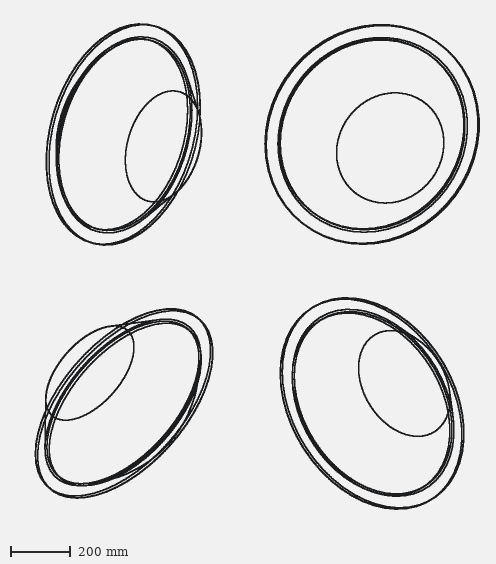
import cadquery as cq

total_length = 345.0
flange_radius = 377.5
flange_thickness = 12.0
recess_radius = 328.0
recess_depth = flange_thickness
cone_large_radius = 336.0
cone_small_radius = 190.0
dome_protrusion = 158.0
back_x = total_length - dome_protrusion


def make_housing():
    """Flange and tapered body in one piece, with a round seat for the dome."""
    return (
        cq.Workplane("XY")
        .moveTo(recess_depth, 0)
        .lineTo(recess_depth, recess_radius)
        .lineTo(0, recess_radius)
        .lineTo(0, flange_radius)
        .lineTo(flange_thickness, flange_radius)
        .lineTo(flange_thickness, cone_large_radius)
        .lineTo(back_x, cone_small_radius)
        .lineTo(back_x, 0)
        .close()
        .revolve(360, (0, 0, 0), (1, 0, 0))
    )


def make_dome():
    """Spherical cap whose rim meets the wall at the bottom of the seat."""
    dome_height = dome_protrusion + recess_depth
    sphere_radius = (recess_radius**2 + dome_height**2) / (2 * dome_height)
    middle_x = recess_depth - dome_height / 2
    sphere_center_x = sphere_radius - dome_protrusion
    middle_radius = (sphere_radius**2 - (sphere_center_x - middle_x) ** 2) ** 0.5
    return (
        cq.Workplane("XY")
        .moveTo(-dome_protrusion, 0)
        .threePointArc((middle_x, middle_radius), (recess_depth, recess_radius))
        .lineTo(recess_depth, 0)
        .close()
        .revolve(360, (0, 0, 0), (1, 0, 0))
    )


housing = make_housing()
dome = make_dome()

result = cq.Compound.makeCompound([housing.val(), dome.val()])